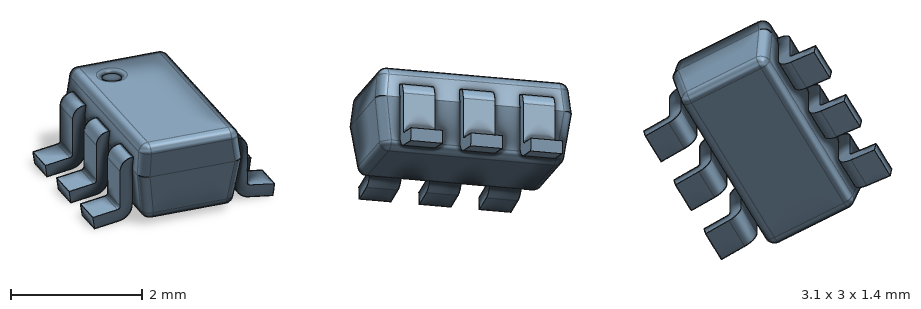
import cadquery as cq
import math

BODY_LENGTH = 3.1
BODY_WIDTH = 1.7
BODY_BOTTOM_Z = 0.1
PARTING_Z = 0.9
BODY_TOP_Z = 1.4
UPPER_DRAFT = 6.0
LOWER_DRAFT = 8.0
BODY_FILLET = 0.15

MARK_X = -0.95
MARK_Y = -0.3
MARK_FLOOR_RADIUS = 0.15
MARK_DEPTH = 0.05
MARK_RIM_RADIUS = 0.1

LEADS_PER_SIDE = 3
LEAD_PITCH = 0.95
LEAD_WIDTH = 0.5
LEAD_THICKNESS = 0.2
LEAD_SPAN = 3.0
FOOT_ANGLE = 8.0
FOOT_BEND_RADIUS = 0.05
LEAD_EMBED = 0.1


def drafted_half(height, draft):
    """Block growing from the parting plane, up or down, and narrowing by the draft angle."""
    parting = cq.Workplane("XY", origin=(0, 0, PARTING_Z)).rect(BODY_LENGTH, BODY_WIDTH)
    return parting.extrude(height, taper=draft)


def make_body():
    """Drafted halves joined at the parting plane, rounded everywhere but the parting line."""
    upper = drafted_half(BODY_TOP_Z - PARTING_Z, UPPER_DRAFT)
    lower = drafted_half(BODY_BOTTOM_Z - PARTING_Z, LOWER_DRAFT)
    body = upper.union(lower)
    return body.edges("(not #Z) or <Z or >Z").fillet(BODY_FILLET)


def make_mark():
    """Cutter for the pin 1 recess, revolved about its own vertical axis."""
    sweep = math.acos(1 - MARK_DEPTH / MARK_RIM_RADIUS)
    rim_outer = MARK_FLOOR_RADIUS + MARK_RIM_RADIUS * math.sin(sweep)
    arc_middle = (
        rim_outer - MARK_RIM_RADIUS * math.sin(sweep / 2),
        -MARK_RIM_RADIUS * (1 - math.cos(sweep / 2)),
    )
    return (
        cq.Workplane("XZ", origin=(MARK_X, MARK_Y, BODY_TOP_Z))
        .moveTo(0, -MARK_DEPTH)
        .lineTo(MARK_FLOOR_RADIUS, -MARK_DEPTH)
        .threePointArc(arc_middle, (rim_outer, 0))
        .lineTo(0, 0)
        .close()
        .revolve(360, (0, 0, 0), (0, 1, 0))
    )


def make_lead():
    """One lead on the +Y side, centred on X = 0, with its foot sloping down to Z = 0."""
    slope = math.radians(FOOT_ANGLE)
    inner_y = BODY_WIDTH / 2
    outer_y = inner_y + LEAD_THICKNESS
    outer_bend = FOOT_BEND_RADIUS + LEAD_THICKNESS

    tip_top = (LEAD_SPAN / 2, LEAD_THICKNESS * math.cos(slope))
    tip_bottom = (LEAD_SPAN / 2 - LEAD_THICKNESS * math.sin(slope), 0)

    bend_y = outer_y + FOOT_BEND_RADIUS
    bend_z = outer_bend / math.cos(slope) + (tip_bottom[0] - bend_y) * math.tan(slope)

    def on_bend(radius, angle):
        return (bend_y - radius * math.cos(angle), bend_z - radius * math.sin(angle))

    foot_turn = math.pi / 2 - slope
    half_turn = foot_turn / 2
    shoulder_45 = LEAD_THICKNESS * math.sqrt(0.5)

    profile = (
        cq.Workplane("YZ", origin=(-LEAD_WIDTH / 2, 0, 0))
        .moveTo(inner_y - LEAD_EMBED, PARTING_Z)
        .lineTo(inner_y, PARTING_Z)
        .lineTo(*on_bend(outer_bend, 0))
        .threePointArc(on_bend(outer_bend, half_turn), on_bend(outer_bend, foot_turn))
        .lineTo(*tip_bottom)
        .lineTo(*tip_top)
        .lineTo(*on_bend(FOOT_BEND_RADIUS, foot_turn))
        .threePointArc(on_bend(FOOT_BEND_RADIUS, half_turn), on_bend(FOOT_BEND_RADIUS, 0))
        .lineTo(outer_y, PARTING_Z)
        .threePointArc(
            (inner_y + shoulder_45, PARTING_Z + shoulder_45),
            (inner_y, PARTING_Z + LEAD_THICKNESS),
        )
        .lineTo(inner_y - LEAD_EMBED, PARTING_Z + LEAD_THICKNESS)
        .close()
    )
    return profile.extrude(LEAD_WIDTH)


result = make_body().cut(make_mark())

lead = make_lead()
for index in range(LEADS_PER_SIDE):
    lead_x = (index - (LEADS_PER_SIDE - 1) / 2) * LEAD_PITCH
    placed = lead.translate((lead_x, 0, 0))
    result = result.union(placed).union(placed.mirror("XZ"))